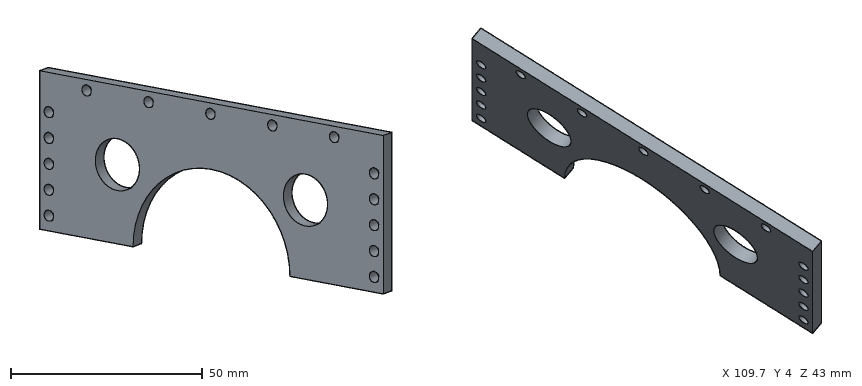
import cadquery as cq

length = 109.7
thickness = 4.0
height = 43.0

arch_diameter = 50.0

large_hole_diameter = 14.0
large_hole_spacing = 60.0

small_hole_diameter = 3.0
holes_per_line = 5
edge_distance = 3.0
column_pitch = 7.0
column_bottom_height = 4.2
row_pitch = 19.7
row_center_offset = -0.3


def centered_steps(count, pitch):
    """Evenly spaced positions, symmetric about zero."""
    return [(i - (count - 1) / 2) * pitch for i in range(count)]


def through_cylinders(centers, diameter):
    """Cylinders along Y through the full thickness at the given (x, z) centers."""
    return (
        cq.Workplane("XZ", origin=(0, thickness, 0))
        .pushPoints(centers)
        .circle(diameter / 2)
        .extrude(2 * thickness)
    )


plate = cq.Workplane("XY").box(length, thickness, height, centered=(True, True, False))

large_hole_centers = [(x, height / 2) for x in centered_steps(2, large_hole_spacing)]

column_spacing = length - 2 * edge_distance
column_centers = [
    (x, column_bottom_height + i * column_pitch)
    for x in centered_steps(2, column_spacing)
    for i in range(holes_per_line)
]

row_centers = [
    (row_center_offset + x, height - edge_distance)
    for x in centered_steps(holes_per_line, row_pitch)
]

result = (
    plate
    .cut(through_cylinders([(0, 0)], arch_diameter))
    .cut(through_cylinders(large_hole_centers, large_hole_diameter))
    .cut(through_cylinders(column_centers + row_centers, small_hole_diameter))
)